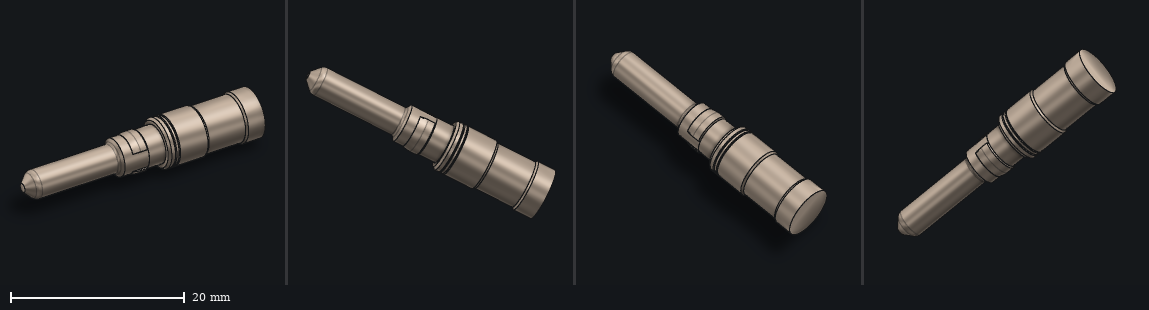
import cadquery as cq
import math

total_length = 30.75
body_radius = 6.3 / 2
waist_radius = 5.9 / 2
neck_radius = 4.8 / 2
ring_seat_radius = 4.75 / 2
pin_radius = 3.6 / 2

tip_radius = 0.55
tip_round_radius = 0.92
half_right_angle = math.radians(45)

pin_end = 11.78
shoulder_round_radius = 0.35
shoulder_slope = math.radians(60)
ring_seat_start = 12.35

body_start = 17.85
body_chamfer_length = 0.35
body_chamfer_depth = 0.28
groove_starts = (18.65, 19.15)
groove_width = 0.18
groove_depth = 0.12
waist_start = 23.03
waist_end = 28.47
waist_taper_length = 0.28

ring_start = 13.6
ring_straight_start = 14.58
ring_end = 15.62
ring_radius = 2.55
ring_edge_chamfer = 0.15
ring_front_wall = 0.03
ring_gap_angle = 60.0


def station(distance_from_tip):
    """Return the Y coordinate of a station, with the part centred on the origin."""
    return distance_from_tip - total_length / 2


def point(radius, distance_from_tip):
    return (radius, station(distance_from_tip))


def revolve(profile, angle=360.0):
    """Turn a closed profile in the XY plane around the Y axis."""
    return profile.close().revolve(angle, (0, 0, 0), (0, 1, 0))


def make_pin():
    """Build the turned pin from the tip to the rear face."""
    round_drop = tip_round_radius * (1 - math.cos(half_right_angle))
    cone_end_radius = pin_radius - round_drop
    cone_end = (cone_end_radius - tip_radius) * math.tan(half_right_angle)
    round_end = cone_end + tip_round_radius * math.sin(half_right_angle)
    mid_round_radius = pin_radius - tip_round_radius * (1 - math.cos(half_right_angle / 2))
    mid_round = round_end - tip_round_radius * math.sin(half_right_angle / 2)

    def shoulder_point(angle):
        return point(
            pin_radius + shoulder_round_radius * (1 - math.cos(angle)),
            pin_end + shoulder_round_radius * math.sin(angle),
        )

    profile = (
        cq.Workplane("XY")
        .moveTo(*point(0, 0))
        .lineTo(*point(tip_radius, 0))
        .lineTo(*point(cone_end_radius, cone_end))
        .threePointArc(point(mid_round_radius, mid_round), point(pin_radius, round_end))
        .lineTo(*point(pin_radius, pin_end))
        .threePointArc(shoulder_point(shoulder_slope / 2), shoulder_point(shoulder_slope))
        .lineTo(*point(ring_seat_radius, ring_seat_start))
        .lineTo(*point(ring_seat_radius, ring_end))
        .lineTo(*point(neck_radius, ring_end))
        .lineTo(*point(neck_radius, body_start))
        .lineTo(*point(body_radius - body_chamfer_depth, body_start))
        .lineTo(*point(body_radius, body_start + body_chamfer_length))
        .lineTo(*point(body_radius, waist_start))
        .lineTo(*point(waist_radius, waist_start + waist_taper_length))
        .lineTo(*point(waist_radius, waist_end - waist_taper_length))
        .lineTo(*point(body_radius, waist_end))
        .lineTo(*point(body_radius, total_length))
        .lineTo(*point(0, total_length))
    )
    return revolve(profile)


def make_groove(start):
    """Build the cutter for one V-shaped groove around the body."""
    profile = (
        cq.Workplane("XY")
        .moveTo(*point(body_radius, start))
        .lineTo(*point(body_radius - groove_depth, start + groove_width / 2))
        .lineTo(*point(body_radius, start + groove_width))
    )
    return revolve(profile)


def make_ring():
    """Build the spring ring with its gap facing +X."""
    taper_length = ring_straight_start - ring_start
    taper_rise = ring_radius - ring_seat_radius - ring_front_wall
    crown_radius = (taper_length**2 + taper_rise**2) / (2 * taper_rise)
    mid_drop = crown_radius - math.sqrt(crown_radius**2 - (taper_length / 2) ** 2)
    inner_radius = ring_seat_radius / 2
    profile = (
        cq.Workplane("XY")
        .moveTo(*point(inner_radius, ring_start))
        .lineTo(*point(ring_seat_radius + ring_front_wall, ring_start))
        .threePointArc(
            point(ring_radius - mid_drop, ring_start + taper_length / 2),
            point(ring_radius, ring_straight_start),
        )
        .lineTo(*point(ring_radius, ring_end - ring_edge_chamfer))
        .lineTo(*point(ring_radius - ring_edge_chamfer, ring_end))
        .lineTo(*point(inner_radius, ring_end))
    )
    ring = revolve(profile, 360.0 - ring_gap_angle)
    return ring.rotate((0, 0, 0), (0, 1, 0), ring_gap_angle / 2)


result = make_pin()
for groove_start in groove_starts:
    result = result.cut(make_groove(groove_start))
result = result.union(make_ring())